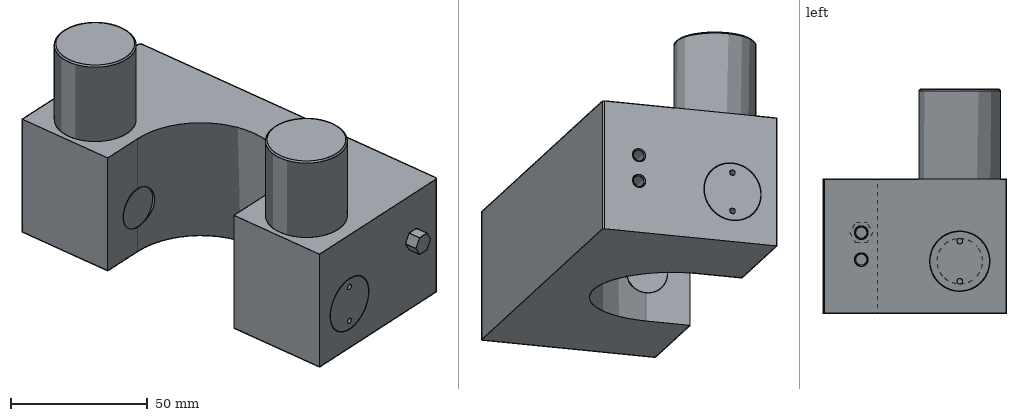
import cadquery as cq

total_length = 147.0
screw_length = 5.0
block_length = total_length - screw_length
block_depth = 67.0
total_height = 82.0
block_height = 49.1
back_edge_chamfer = 0.6

axis_y = 17.0
channel_diameter = 60.3

pin_diameter = 30.0
pin_spacing = 100.8
pin_chamfer = 0.6

bore_diameter = 22.0
plug_diameter = 21.8
piston_diameter = 16.6
piston_protrusion = 0.1
bore_z = 19.1
gap_depth = 4.4
plug_hole_diameter = 2.0
plug_hole_spacing = 14.7
plug_hole_depth = 4.4

port_y = 53.0
port_diameter = 4.1
port_mouth_diameter = 5.0
port_depth = 8.8
port_spacing = 9.8
upper_port_z = 29.5
screw_corner_diameter = 8.4

left_face = -block_length / 2
right_face = block_length / 2
channel_radius = channel_diameter / 2


def cylinder_along_x(start_x, y, z, diameter, length):
    """Cylinder that starts at start_x and runs toward +X."""
    return cq.Workplane("YZ", origin=(start_x, y, z)).circle(diameter / 2).extrude(length)


def ring_gap(start_x, length):
    """Thin clearance ring between an outer bore and its plug."""
    bore = cylinder_along_x(start_x, axis_y, bore_z, bore_diameter, length)
    return bore.cut(cylinder_along_x(start_x, axis_y, bore_z, plug_diameter, length))


def make_block():
    """Block with its back vertical edges broken and a U-shaped channel open to the front."""
    block = cq.Workplane("XY").box(block_length, block_depth, block_height, centered=(True, False, False))
    block = block.faces(">Y").edges("|Z").chamfer(back_edge_chamfer)
    channel = (
        cq.Workplane("XY")
        .moveTo(-channel_radius, 0)
        .lineTo(-channel_radius, axis_y)
        .threePointArc((0, axis_y + channel_radius), (channel_radius, axis_y))
        .lineTo(channel_radius, 0)
        .close()
        .extrude(block_height)
    )
    return block.cut(channel)


def make_pins():
    """Two upright pins with chamfered tops."""
    return (
        cq.Workplane("XY", origin=(0, axis_y, block_height))
        .pushPoints([(-pin_spacing / 2, 0), (pin_spacing / 2, 0)])
        .circle(pin_diameter / 2)
        .extrude(total_height - block_height)
        .faces(">Z")
        .edges()
        .chamfer(pin_chamfer)
    )


def make_screw():
    """Hexagonal screw end with its corners toward the front and the back."""
    return (
        cq.Workplane("YZ", origin=(right_face, port_y, upper_port_z))
        .polygon(6, screw_corner_diameter)
        .extrude(screw_length)
    )


def add_pistons(body):
    """Flat piston faces standing slightly proud of the straight channel walls."""
    face_spacing = channel_diameter - 2 * piston_protrusion
    pistons = cylinder_along_x(-channel_radius, axis_y, bore_z, piston_diameter, channel_diameter)
    gap = cylinder_along_x(-face_spacing / 2, axis_y, bore_z, piston_diameter, face_spacing)
    return body.union(pistons).cut(gap)


def cut_plugs(body):
    """Plug outline and two spanner holes in each outer end face."""
    for gap_start, hole_start in (
        (left_face, left_face),
        (right_face - gap_depth, right_face - plug_hole_depth),
    ):
        body = body.cut(ring_gap(gap_start, gap_depth))
        for offset in (-plug_hole_spacing / 2, plug_hole_spacing / 2):
            hole = cylinder_along_x(hole_start, axis_y, bore_z + offset, plug_hole_diameter, plug_hole_depth)
            body = body.cut(hole)
    return body


def cut_ports(body):
    """Two countersunk ports, one above the other, in the left face."""
    mouth_depth = (port_mouth_diameter - port_diameter) / 2
    for z in (upper_port_z, upper_port_z - port_spacing):
        body = body.cut(cylinder_along_x(left_face, port_y, z, port_diameter, port_depth))
        mouth = cq.Solid.makeCone(
            port_mouth_diameter / 2, port_diameter / 2, mouth_depth,
            cq.Vector(left_face, port_y, z), cq.Vector(1, 0, 0),
        )
        body = body.cut(cq.Workplane(mouth))
    return body


result = make_block().union(make_pins()).union(make_screw())
result = add_pistons(result)
result = cut_plugs(result)
result = cut_ports(result)